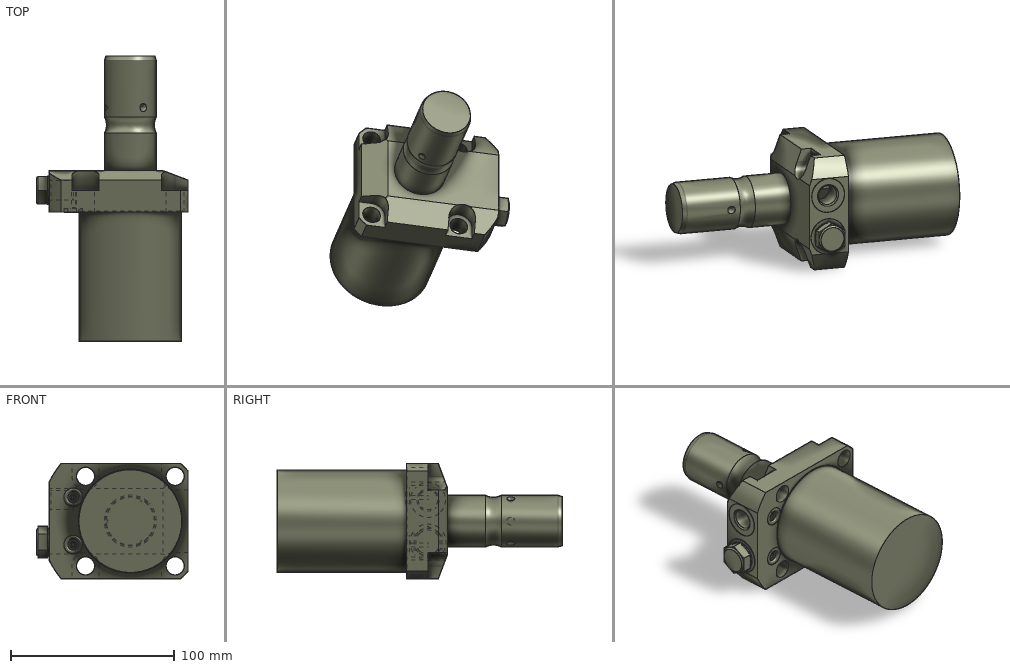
import cadquery as cq
import math


overall_length = 175.0
overall_width = 93.1
overall_height = 70.9

barrel_diameter = 63.0
barrel_length = 79.3
relief_diameter = 63.9
relief_depth = 0.5

flange_left = 49.9
flange_half_height = overall_height / 2
flange_right = flange_half_height
flange_thickness = 25.4
left_corner_radius = 55.3
right_corner_radius = 46.9
slope_start = 20.1
slope_rim_thickness = 19.6

bolt_offset = 27.5
bolt_hole_diameter = 11.0
spot_diameter = 16.6
spot_floor = 13.3

rod_radius = 16.0
rod_end = overall_length - barrel_length
rod_chamfer_length = 2.8
rod_chamfer_depth = 0.9
groove_start = 48.5
groove_end = 58.3
groove_floor_radius = 14.7
dimple_position = 64.0
dimple_diameter = 4.9
dimple_depth = dimple_diameter / 2
dimple_angles = (60, 180, 300)

port_y = 13.3
port_offset = 13.0
port_diameter = 11.9
port_mouth_diameter = 13.7
open_port_face_diameter = 21.4
plugged_port_face_diameter = 22.2
port_face_depth = 0.26

oring_x = -35.0
oring_offset = 14.5
oring_section_radius = 1.2
oring_mean_radius = 4.5
oring_protrusion = 0.44
feed_diameter = 2.5
feed_countersink_diameter = 4.0

plug_tip = overall_width - flange_right
hex_across_flats = 17.0
collar_height = 0.9
collar_diameter = 17.3
plug_crown_height = 0.9
plug_face_diameter = 14.9

both_signs = (-1, 1)


def y_cylinder(x, z, y_start, y_end, diameter):
    """Cylinder parallel to Y between two Y positions."""
    return (
        cq.Workplane("XZ", origin=(x, y_end, z))
        .circle(diameter / 2)
        .extrude(y_end - y_start)
    )


def x_cylinder(z, x_start, x_end, diameter):
    """Cylinder parallel to X at the Y position of the ports."""
    return (
        cq.Workplane("YZ", origin=(x_start, port_y, z))
        .circle(diameter / 2)
        .extrude(x_end - x_start)
    )


def cone(start, direction, length, start_diameter, end_diameter):
    """Truncated cone from a start point along a direction."""
    return cq.Workplane(
        cq.Solid.makeCone(start_diameter / 2, end_diameter / 2, length, start, direction)
    )


def x_cone(z, x_start, x_end, start_diameter, end_diameter):
    """Truncated cone parallel to X at the Y position of the ports."""
    start = cq.Vector(x_start, port_y, z)
    return cone(start, cq.Vector(1, 0, 0), x_end - x_start, start_diameter, end_diameter)


def slab(x_start, x_end, thickness, height):
    """Box rising from Y = 0, centred in Z, between two X positions."""
    box = cq.Workplane("XY").box(x_end - x_start, thickness, height, centered=(False, False, True))
    return box.translate((x_start, 0, 0))


def flange_block():
    """Block with its corners turned about the Y axis and three sloped rear edges."""
    width = flange_left + flange_right
    block = slab(-flange_left, flange_right, flange_thickness, overall_height)
    left_turning = y_cylinder(0, 0, 0, flange_thickness, 2 * left_corner_radius)
    right_turning = y_cylinder(0, 0, 0, flange_thickness, 2 * right_corner_radius)
    right_turning = right_turning.union(slab(-flange_left, 0, flange_thickness, overall_height))
    block = block.intersect(left_turning).intersect(right_turning)

    top_wedge = (
        cq.Workplane("YZ", origin=(-flange_left, 0, 0))
        .moveTo(flange_thickness, slope_start)
        .lineTo(flange_thickness, flange_half_height)
        .lineTo(slope_rim_thickness, flange_half_height)
        .close()
        .extrude(width)
    )
    side_wedge = (
        cq.Workplane("XY", origin=(0, 0, -flange_half_height))
        .moveTo(slope_start, flange_thickness)
        .lineTo(flange_right, flange_thickness)
        .lineTo(flange_right, slope_rim_thickness)
        .close()
        .extrude(overall_height)
    )
    return block.cut(top_wedge).cut(top_wedge.mirror("XY")).cut(side_wedge)


def bolt_cutters():
    """Through holes with rear spot faces that run out of the nearest edges."""
    cutters = []
    depth = flange_thickness - spot_floor
    for side in both_signs:
        for level in both_signs:
            x = side * bolt_offset
            z = level * bolt_offset
            cutters.append(y_cylinder(x, z, 0, flange_thickness, bolt_hole_diameter))
            cutters.append(y_cylinder(x, z, spot_floor, flange_thickness, spot_diameter))
            run_out = cq.Workplane("XY").box(spot_diameter, depth, spot_diameter)
            centre_y = spot_floor + depth / 2
            cutters.append(run_out.translate((x, centre_y, z + level * spot_diameter / 2)))
            if side > 0:
                cutters.append(run_out.translate((x + spot_diameter / 2, centre_y, z)))
    return cutters


def rod():
    """Round rod with a chamfered end and an arc groove, rising from the flange."""
    groove_middle = (groove_start + groove_end) / 2
    return (
        cq.Workplane("XY")
        .moveTo(0, flange_thickness)
        .lineTo(rod_radius, flange_thickness)
        .lineTo(rod_radius, groove_start)
        .threePointArc((groove_floor_radius, groove_middle), (rod_radius, groove_end))
        .lineTo(rod_radius, rod_end - rod_chamfer_length)
        .lineTo(rod_radius - rod_chamfer_depth, rod_end)
        .lineTo(0, rod_end)
        .close()
        .revolve(360, (0, 0, 0), (0, 1, 0))
    )


def rod_dimple(angle):
    """Conical dimple cutter, drilled radially into the rod."""
    direction = cq.Vector(math.cos(math.radians(angle)), 0, math.sin(math.radians(angle)))
    start = direction * rod_radius + cq.Vector(0, dimple_position, 0)
    return cone(start, direction * -1, dimple_depth, dimple_diameter, 0)


def open_port():
    """Cutter for the open side port with its chamfered mouth and sealing face."""
    mouth_x = port_face_depth - flange_left
    face = x_cylinder(port_offset, -flange_left, mouth_x, open_port_face_diameter)
    bore = x_cylinder(port_offset, -flange_left, oring_x, port_diameter)
    chamfer = (port_mouth_diameter - port_diameter) / 2
    mouth = x_cone(port_offset, mouth_x, mouth_x + chamfer, port_mouth_diameter, port_diameter)
    return face.union(bore).union(mouth)


def plug_head():
    """Hexagonal plug head with a round collar below and a chamfered crown on top."""
    face_x = port_face_depth - flange_left
    hex_base = -flange_left - collar_height
    hex_top = plug_crown_height - plug_tip
    collar = x_cylinder(-port_offset, hex_base, face_x, collar_diameter)
    hexagon = (
        cq.Workplane("YZ", origin=(hex_top, port_y, -port_offset))
        .polygon(6, hex_across_flats, circumscribed=True)
        .extrude(hex_base - hex_top)
    )
    crown = x_cone(-port_offset, -plug_tip, hex_top, plug_face_diameter, hex_across_flats)
    return collar.union(hexagon).union(crown)


def oring_seat(z):
    """Cutter for an O-ring recess and its feed drilling."""
    seat_depth = 2 * oring_section_radius - oring_protrusion
    seat_diameter = 2 * (oring_mean_radius + oring_section_radius)
    seat = y_cylinder(oring_x, z, 0, seat_depth, seat_diameter)
    feed = y_cylinder(oring_x, z, 0, port_y, feed_diameter)
    sink_depth = (feed_countersink_diameter - feed_diameter) / 2
    seat_floor = cq.Vector(oring_x, seat_depth, z)
    sink = cone(seat_floor, cq.Vector(0, 1, 0), sink_depth, feed_countersink_diameter, feed_diameter)
    return seat.union(feed).union(sink)


def make_cylinder_unit():
    """Flange, barrel, rod and plug head as one solid."""
    unit = flange_block()
    for cutter in bolt_cutters():
        unit = unit.cut(cutter)
    unit = unit.cut(y_cylinder(0, 0, 0, relief_depth, relief_diameter))
    unit = unit.union(y_cylinder(0, 0, -barrel_length, relief_depth, barrel_diameter))
    unit = unit.union(rod())
    for angle in dimple_angles:
        unit = unit.cut(rod_dimple(angle))
    plugged_face = x_cylinder(
        -port_offset, -flange_left, port_face_depth - flange_left, plugged_port_face_diameter
    )
    unit = unit.cut(open_port()).cut(plugged_face).union(plug_head())
    for sign in both_signs:
        unit = unit.cut(oring_seat(sign * oring_offset))
    return unit


def make_oring(z):
    """O-ring lying in its seat and standing slightly proud of the mounting face."""
    centre = cq.Vector(oring_x, oring_section_radius - oring_protrusion, z)
    return cq.Solid.makeTorus(oring_mean_radius, oring_section_radius, centre, cq.Vector(0, 1, 0))


cylinder_unit = make_cylinder_unit()
orings = [make_oring(sign * oring_offset) for sign in both_signs]
result = cq.Compound.makeCompound([cylinder_unit.val(), *orings])